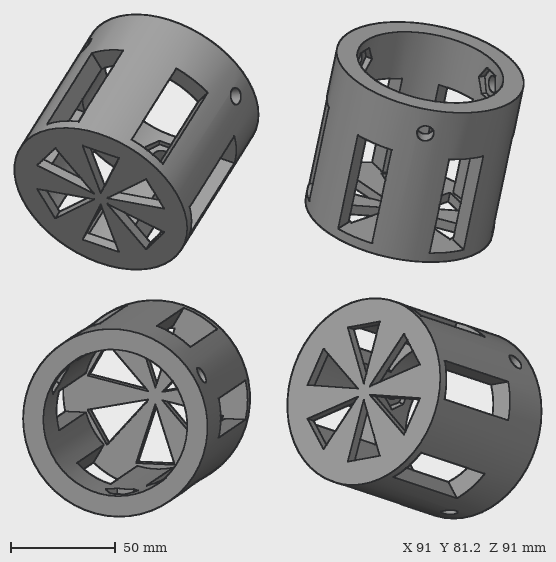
import cadquery as cq
import math

outer_diameter = 91.0
bore_diameter = 71.0
length = 81.2
end_plate_thickness = 5.0

sector_count = 6
window_width = 19.05
window_length = 50.8
window_start = end_plate_thickness

vent_tip_radius = 4.0
vent_base_radius = 33.1
vent_base_width = 19.05

screw_count = 3
screw_hole_diameter = 8.0
screw_hole_from_open_end = 12.7
first_screw_angle = 30.0

nut_sides = 6
nut_across_flats = 14.0
nut_floor_radius = 38.0

front_y = -length / 2
outer_radius = outer_diameter / 2
sector_angle = 360.0 / sector_count


def turned_about_axis(body, angle):
    """Rotate a body about the drum axis, from +X toward +Z."""
    return body.rotate((0, 0, 0), (0, -1, 0), angle)


def disc_along_y(diameter, start_y, end_y):
    """Cylinder on the drum axis between two Y positions."""
    plane = cq.Plane(origin=(0, start_y, 0), xDir=(1, 0, 0), normal=(0, 1, 0))
    return cq.Workplane(plane).circle(diameter / 2).extrude(end_y - start_y)


def drum():
    """Round cup, open at +Y."""
    shell = disc_along_y(outer_diameter, front_y, -front_y)
    bore = disc_along_y(bore_diameter, front_y + end_plate_thickness, -front_y)
    return shell.cut(bore)


def side_window():
    """Rectangular cutter from the axis out through the wall on +X."""
    centre = (outer_radius, front_y + window_start + window_length / 2, 0)
    return cq.Workplane("XY").box(outer_diameter, window_length, window_width).translate(centre)


def end_vent():
    """Triangular cutter through the end plate, pointing at the axis from +X."""
    plane = cq.Plane(origin=(0, front_y, 0), xDir=(1, 0, 0), normal=(0, 1, 0))
    corners = [
        (vent_tip_radius, 0),
        (vent_base_radius, vent_base_width / 2),
        (vent_base_radius, -vent_base_width / 2),
    ]
    return cq.Workplane(plane).polyline(corners).close().extrude(end_plate_thickness)


def screw_plane():
    """Plane on the drum axis at the screw position, facing +X, with its X direction along Y."""
    screw_y = front_y + length - screw_hole_from_open_end
    return cq.Plane(origin=(0, screw_y, 0), xDir=(0, 1, 0), normal=(1, 0, 0))


def screw_hole():
    """Radial round cutter through the wall on +X."""
    return cq.Workplane(screw_plane()).circle(screw_hole_diameter / 2).extrude(outer_diameter)


def nut_pocket():
    """Hexagonal cutter from the axis into the bore wall, two flats square to the drum axis."""
    nut_across_corners = nut_across_flats / math.cos(math.pi / nut_sides)
    turned_plane = cq.Workplane(screw_plane()).transformed(rotate=(0, 0, 90))
    return turned_plane.polygon(nut_sides, nut_across_corners).extrude(nut_floor_radius)


result = drum()
for sector in range(sector_count):
    result = result.cut(turned_about_axis(side_window(), sector * sector_angle))
    result = result.cut(turned_about_axis(end_vent(), (sector + 0.5) * sector_angle))
for screw in range(screw_count):
    screw_angle = first_screw_angle + screw * 360.0 / screw_count
    result = result.cut(turned_about_axis(screw_hole(), screw_angle))
    result = result.cut(turned_about_axis(nut_pocket(), screw_angle))